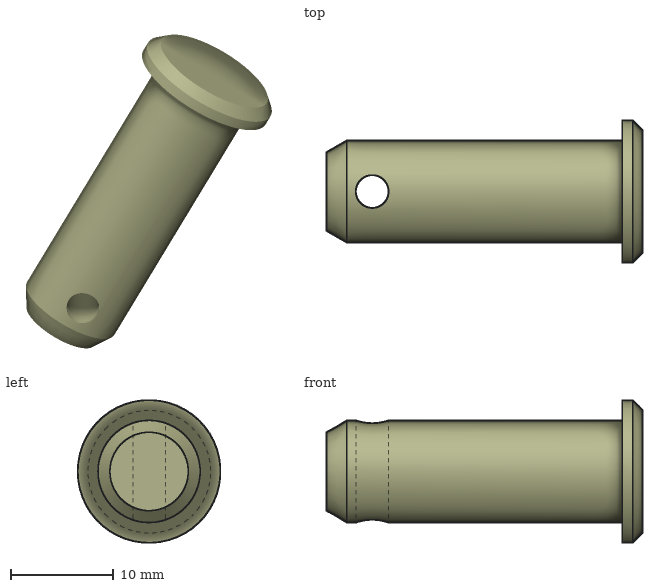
import cadquery as cq
import math

total_length = 31.0
shank_diameter = 10.0
head_diameter = 14.0
head_thickness = 2.0
head_chamfer = 1.0

tip_length = 2.0
tip_angle = 30.0

hole_diameter = 3.2
hole_from_tip = 4.5

shank_radius = shank_diameter / 2
head_radius = head_diameter / 2
tip_radius = shank_radius - tip_length * math.tan(math.radians(tip_angle))
head_start = total_length - head_thickness


def pin_body():
    """Half profile of the pin revolved about the X axis."""
    return (
        cq.Workplane("XY")
        .moveTo(0, 0)
        .lineTo(0, tip_radius)
        .lineTo(tip_length, shank_radius)
        .lineTo(head_start, shank_radius)
        .lineTo(head_start, head_radius)
        .lineTo(total_length - head_chamfer, head_radius)
        .lineTo(total_length, head_radius - head_chamfer)
        .lineTo(total_length, 0)
        .close()
        .revolve(360, (0, 0, 0), (1, 0, 0))
    )


def cross_hole():
    """Cylinder passing through the whole shank along Z."""
    return (
        cq.Workplane("XY")
        .center(hole_from_tip, 0)
        .circle(hole_diameter / 2)
        .extrude(shank_radius, both=True)
    )


result = pin_body().cut(cross_hole())